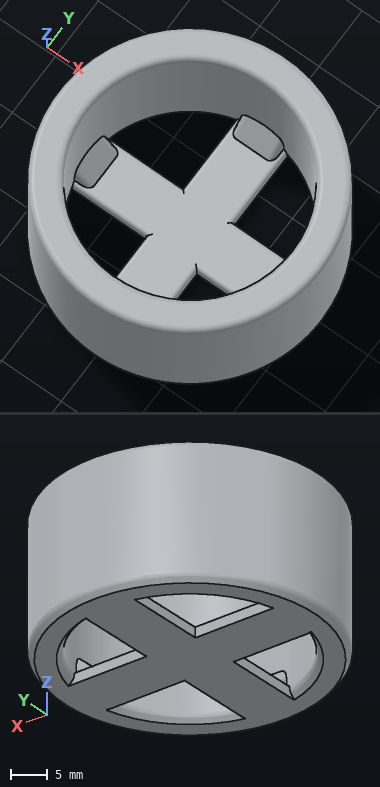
import cadquery as cq

outer_diameter = 44.5
bore_diameter = 34.5
height = 22.0
edge_size = 1.0
bottom_blend = 1.0

bar_width = 8.5
bar_thickness = 2.0
bar_rounding = 0.65

gusset_width = bar_width - 2 * bar_rounding
gusset_foot_radius = 14.25
gusset_height = 3.0
gusset_rounding = 1.0

bore_radius = bore_diameter / 2
embed_depth = 2.22
embed_radius = bore_radius + embed_depth


def make_ring():
    """Ring with rounded top rim and bottom chamfers blended into the walls."""
    ring = cq.Workplane("XY").circle(outer_diameter / 2).circle(bore_radius).extrude(height)
    ring = ring.faces(">Z").edges().fillet(edge_size)
    ring = ring.faces("<Z").edges().chamfer(edge_size)
    chamfer_top = cq.selectors.BoxSelector(
        (-outer_diameter, -outer_diameter, edge_size / 2),
        (outer_diameter, outer_diameter, 2 * edge_size),
        boundingbox=True,
    )
    return ring.edges("%CIRCLE").edges(chamfer_top).fillet(bottom_blend)


def make_cross():
    """Two crossing bars with rounded upper edges, trimmed inside the ring wall."""
    along_x = cq.Workplane("XY").rect(outer_diameter, bar_width).extrude(bar_thickness)
    along_x = along_x.edges("|X and >Z").fillet(bar_rounding)
    cross = along_x.union(along_x.rotate((0, 0, 0), (0, 0, 1), 90))
    trim = cq.Workplane("XY").circle(embed_radius).extrude(bar_thickness)
    return cross.intersect(trim)


def make_gusset():
    """Gusset on the +X bar, with its sloping side edges rounded."""
    slope = gusset_height / (bore_radius - gusset_foot_radius)
    embed_height = slope * (embed_radius - gusset_foot_radius)
    foot_depth = bar_thickness / 2
    hidden_foot_radius = gusset_foot_radius - foot_depth / slope
    gusset = (
        cq.Workplane("XZ")
        .moveTo(hidden_foot_radius, bar_thickness - foot_depth)
        .lineTo(embed_radius, bar_thickness - foot_depth)
        .lineTo(embed_radius, bar_thickness + embed_height)
        .close()
        .extrude(gusset_width / 2, both=True)
    )
    return gusset.edges("not(|X or |Y or |Z)").fillet(gusset_rounding)


result = make_ring().union(make_cross())
gusset = make_gusset()
for angle in (0, 90, 180, 270):
    result = result.union(gusset.rotate((0, 0, 0), (0, 0, 1), angle))